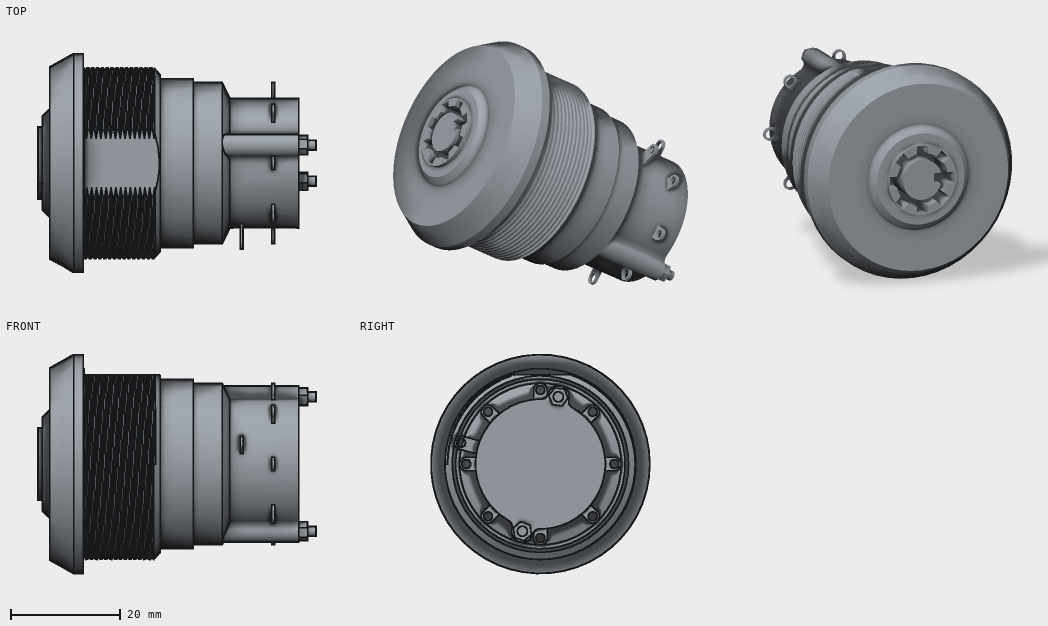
import cadquery as cq
import math


BUTTON_BASE_X = 0.8
BEZEL_FRONT_X = 2.15
RIM_FRONT_X = 6.6
RIM_BACK_X = 8.35
FLAT_START_X = 8.5
THREAD_END_X = 21.2
THREAD_SHOULDER_X = 22.45
COLLAR_END_X = 28.5
SLEEVE_END_X = 33.75
CONE_END_X = 35.2
BODY_END_X = 47.8
NUT_END_X = 49.4
SCREW_END_X = 51.0

BUTTON_R = 6.65
BOSS_FACE_R = 8.55
BOSS_BASE_R = 9.9
BEZEL_FACE_R = 17.6
RIM_R = 20.06
THREAD_CREST_R = 17.5
THREAD_SHOULDER_R = 16.15
COLLAR_R = 15.5
SLEEVE_R = 14.8
BODY_R = 11.9

THREAD_START_X = 8.05
THREAD_LENGTH = 13.5
THREAD_TURNS = 15.25
GROOVE_DEPTH = 0.5
GROOVE_ANGLE = 60.0
FLAT_HEIGHT = 16.35

RECESS_DEPTH = 6.1
PLUG_R = 3.75
RECESS_R = 5.05
SLOT_COUNT = 8
SLOT_WIDTH = 2.1
SLOT_END_R = 6.3
PLUG_SLOT_INNER_R = 2.3

SCREW_CIRCLE_R = 12.75
SCREW_TILT = 15.0
RIB_R = 2.0
NUT_CORNER_R = 1.8
UPPER_NUT_TURN = 7.0
LOWER_NUT_TURN = -6.0
SCREW_R = 0.9

TERMINAL_COUNT = 8
TERMINAL_X = 43.1
TERMINAL_TIP_R = 14.8
EARTH_TERMINAL_X = 37.3
EARTH_TERMINAL_TIP_R = 16.25
EARTH_TERMINAL_TILT = 15.0
TERMINAL_WIDTH = 2.45
TERMINAL_THICKNESS = 0.55
TERMINAL_HOLE_R = 0.8
TERMINAL_ROOT_R = 10.2


def section_at(x):
    """Workplane across the axis: local x is +Y, local y is +Z, extrusion runs to +X."""
    return cq.Workplane("YZ", origin=(x, 0, 0))


def turn(shape, degrees):
    """Rotate about the switch axis, from +Y towards +Z."""
    return shape.rotate((0, 0, 0), (1, 0, 0), degrees)


def revolved(outline):
    """Solid of revolution about X from (x, radius) points."""
    return cq.Workplane("XY").polyline(outline).close().revolve(360, (0, 0, 0), (1, 0, 0))


def turned_body():
    """Button, boss, bezel, barrel core and rear housing as one revolved outline."""
    outline = [
        (0, 0),
        (0, BUTTON_R),
        (BUTTON_BASE_X, BUTTON_R),
        (BUTTON_BASE_X, BOSS_FACE_R),
        (BEZEL_FRONT_X, BOSS_BASE_R),
        (BEZEL_FRONT_X, BEZEL_FACE_R),
        (RIM_FRONT_X, RIM_R),
        (RIM_BACK_X, RIM_R),
        (RIM_BACK_X, COLLAR_R),
        (COLLAR_END_X, COLLAR_R),
        (COLLAR_END_X, SLEEVE_R),
        (SLEEVE_END_X, SLEEVE_R),
        (CONE_END_X, BODY_R),
        (BODY_END_X, BODY_R),
        (BODY_END_X, 0),
    ]
    return revolved(outline)


def thread_groove():
    """V-shaped helical cutter that starts at the top of the barrel and winds towards -Y."""
    overshoot = 0.1
    outer_r = THREAD_CREST_R + overshoot
    root_r = THREAD_CREST_R - GROOVE_DEPTH
    half_width = (outer_r - root_r) * math.tan(math.radians(GROOVE_ANGLE / 2))
    helix = cq.Wire.makeHelix(THREAD_LENGTH / THREAD_TURNS, THREAD_LENGTH, THREAD_CREST_R)
    groove = (
        cq.Workplane("XZ")
        .polyline([(outer_r, -half_width), (root_r, 0), (outer_r, half_width)])
        .close()
        .sweep(cq.Workplane(helix), isFrenet=True)
    )
    along_x = groove.rotate((0, 0, 0), (0, 1, 0), 90).translate((THREAD_START_X, 0, 0))
    return turn(along_x, 180)


def threaded_barrel():
    """Chamfered sleeve with its top planed flat and the thread cut into it."""
    blank = revolved(
        [
            (RIM_BACK_X, 0),
            (RIM_BACK_X, THREAD_CREST_R),
            (THREAD_END_X, THREAD_CREST_R),
            (THREAD_SHOULDER_X, THREAD_SHOULDER_R),
            (THREAD_SHOULDER_X, 0),
        ]
    )
    flat_length = THREAD_SHOULDER_X - FLAT_START_X
    flat_cutter = cq.Workplane("XY").box(
        flat_length, 2 * RIM_R, RIM_R, centered=(False, True, False)
    )
    planed = blank.cut(flat_cutter.translate((FLAT_START_X, 0, FLAT_HEIGHT)))
    return planed.cut(thread_groove())


def key_recess():
    """Ring around the plug with eight outward slots and one slot into the plug."""
    recess = section_at(0).circle(RECESS_R).circle(PLUG_R).extrude(RECESS_DEPTH)
    middle_r = (PLUG_R + RECESS_R) / 2

    def slot(inner_r, outer_r):
        return (
            section_at(0)
            .center((inner_r + outer_r) / 2, 0)
            .rect(outer_r - inner_r, SLOT_WIDTH)
            .extrude(RECESS_DEPTH)
        )

    for index in range(SLOT_COUNT):
        recess = recess.union(turn(slot(middle_r, SLOT_END_R), index * 360 / SLOT_COUNT))
    return recess.union(turn(slot(PLUG_SLOT_INNER_R, middle_r), 180))


def screw_with_rib(nut_turn):
    """Rib blended into the round housing by concave fillets, with its nut and screw end on +Z."""
    fillet_r = (RIB_R**2 + SCREW_CIRCLE_R**2 - BODY_R**2) / (2 * (BODY_R - RIB_R))
    fillet_y = RIB_R + fillet_r
    foot_scale = BODY_R / (BODY_R + fillet_r)
    foot = (fillet_y * foot_scale, SCREW_CIRCLE_R * foot_scale)
    foot_angle = math.pi + math.atan2(SCREW_CIRCLE_R, fillet_y)
    middle_angle = (math.pi + foot_angle) / 2
    middle = (
        fillet_y + fillet_r * math.cos(middle_angle),
        SCREW_CIRCLE_R + fillet_r * math.sin(middle_angle),
    )
    rib = (
        section_at(SLEEVE_END_X)
        .moveTo(0, 0)
        .lineTo(*foot)
        .threePointArc(middle, (RIB_R, SCREW_CIRCLE_R))
        .threePointArc((0, SCREW_CIRCLE_R + RIB_R), (-RIB_R, SCREW_CIRCLE_R))
        .threePointArc((-middle[0], middle[1]), (-foot[0], foot[1]))
        .close()
        .extrude(BODY_END_X - SLEEVE_END_X)
    )
    nut = (
        section_at(BODY_END_X)
        .center(0, SCREW_CIRCLE_R)
        .transformed(rotate=(0, 0, nut_turn))
        .polygon(6, 2 * NUT_CORNER_R)
        .extrude(NUT_END_X - BODY_END_X)
    )
    screw = (
        section_at(BODY_END_X)
        .center(0, SCREW_CIRCLE_R)
        .circle(SCREW_R)
        .extrude(SCREW_END_X - BODY_END_X)
    )
    return rib.union(nut).union(screw)


def terminal(x, tip_r):
    """Flat round-ended lug with an eye, standing out along +Y."""
    end_r = TERMINAL_WIDTH / 2
    eye_y = tip_r - end_r
    return (
        section_at(x - TERMINAL_THICKNESS / 2)
        .moveTo(TERMINAL_ROOT_R, -end_r)
        .lineTo(eye_y, -end_r)
        .threePointArc((tip_r, 0), (eye_y, end_r))
        .lineTo(TERMINAL_ROOT_R, end_r)
        .close()
        .moveTo(eye_y, 0)
        .circle(TERMINAL_HOLE_R)
        .extrude(TERMINAL_THICKNESS)
    )


result = turned_body().union(threaded_barrel()).cut(key_recess())

for side, nut_turn in ((0, UPPER_NUT_TURN), (180, LOWER_NUT_TURN)):
    result = result.union(turn(screw_with_rib(nut_turn), side - SCREW_TILT))

for index in range(TERMINAL_COUNT):
    result = result.union(turn(terminal(TERMINAL_X, TERMINAL_TIP_R), index * 360 / TERMINAL_COUNT))
result = result.union(turn(terminal(EARTH_TERMINAL_X, EARTH_TERMINAL_TIP_R), 180 - EARTH_TERMINAL_TILT))